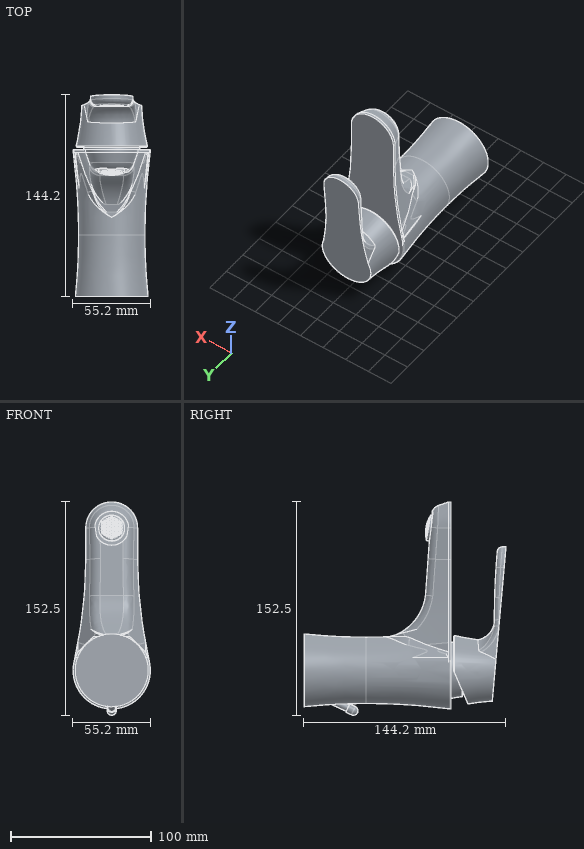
import cadquery as cq
import math


body_length = 104.9
waist_y = 44.0
base_radius = 26.0
waist_radius = 23.8
body_back_radius = 27.7
body_back_round = 0.6

nose_radius = 18.6
nose_z = 101.7
spout_flare_top_z = 79.3
spout_root_half_width = 26.8
spout_root_z = 6.9
spout_band = 2.0
spout_depth = 48.8
spout_taper = 19
spout_edge_round = 8.0

flare_z = 9.1
flare_height = 15.0
flare_taper = 32
flare_tip_y = 46.3
flare_back_half_width = 26.4

outlet_y = 90.5
outlet_z = 101.4
outlet_tilt = 7
insert_tilt = 9.5
spotface_radius = 12.2
insert_radius = 9.3
insert_rise = 1.8
dome_rise = 2.0
screen_pitch = 2.0
screen_hole_width = 1.4
screen_depth = 1.5
screen_radius = 8.1

neck_front_radius = 20.5
neck_back_radius = 18.9
neck_back_y = 112.8
neck_overlap = 1.5

handle_back_y = 136.3
handle_tilt = 5.1
behind_handle_y = 149.4
hub_axis_z = -0.6
hub_front_y = 106.5
hub_front_radius = 25.8
hub_middle_y = 121.0
hub_middle_radius = 22.9
hub_back_radius = 21.5
hub_rim_chamfer = 0.9
hub_relief_y = 116.8
hub_relief_z = -24.0
hub_cove_radius = 14.2
hub_cove_top_z = 35.8
cove_sink = 0.2
lever_end_radius = 15.2
lever_end_z = 73.5
lever_flare_top_z = 51.8
lever_root_half_width = 20.5
lever_root_z = 4.5
lever_front_y = 135.5
lever_taper = 7
lever_depth = 21.3
lever_edge_round = 3.8
blade_bottom_z = 29
dimple_z = 64
dimple_y = 136.5
dimple_radius = 8.2
dimple_depth = 3.4

peg_tip_y = 35
peg_tip_z = -28.8
peg_tilt = 25
peg_head_radius = 3.4
peg_head_length = 4.4
peg_rod_radius = 2.67
peg_length = 21.3

overcut = 91.5


def tilted_plane(y, z, tilt):
    """Plane facing -Y, leaning back by tilt degrees so that its normal also points up."""
    angle = math.radians(tilt)
    normal = (0, -math.cos(angle), math.sin(angle))
    return cq.Plane(origin=(0, y, z), xDir=(1, 0, 0), normal=normal)


def arm_outline(plane, end_radius, end_z, flare_top_z, root_half_width, root_z, bottom_z):
    """Round-ended arm whose sides flare to its root in arcs tangent to the straight part."""
    flare_width = root_half_width - end_radius
    flare_length = flare_top_z - root_z
    flare_radius = (flare_width**2 + flare_length**2) / (2 * flare_width)
    half_angle = math.asin(flare_length / flare_radius) / 2
    middle_x = end_radius + flare_radius * (1 - math.cos(half_angle))
    middle_z = flare_top_z - flare_radius * math.sin(half_angle)
    return (
        cq.Workplane(plane)
        .moveTo(end_radius, flare_top_z)
        .lineTo(end_radius, end_z)
        .threePointArc((0, end_z + end_radius), (-end_radius, end_z))
        .lineTo(-end_radius, flare_top_z)
        .threePointArc((-middle_x, middle_z), (-root_half_width, root_z))
        .lineTo(-root_half_width, bottom_z)
        .lineTo(root_half_width, bottom_z)
        .lineTo(root_half_width, root_z)
        .threePointArc((middle_x, middle_z), (end_radius, flare_top_z))
        .close()
    )


def make_body():
    front_middle_y = waist_y / 2
    back_middle_y = (waist_y + body_length) / 2
    front_middle_radius = waist_radius + (base_radius - waist_radius) / 4
    back_middle_radius = waist_radius + (body_back_radius - waist_radius) / 4
    profile = (
        cq.Workplane("XY")
        .lineTo(base_radius, 0)
        .threePointArc((front_middle_radius, front_middle_y), (waist_radius, waist_y))
        .threePointArc((back_middle_radius, back_middle_y), (body_back_radius, body_length))
        .lineTo(0, body_length)
        .close()
    )
    body = profile.revolve(360, (0, 0, 0), (0, 1, 0))
    return body.faces(">Y").edges().fillet(body_back_round)


def make_spout():
    def outline(y):
        plane = tilted_plane(y, 0, 0)
        return arm_outline(
            plane, nose_radius, nose_z, spout_flare_top_z, spout_root_half_width, spout_root_z, 0
        )

    band = outline(body_length).extrude(spout_band)
    tapered = outline(body_length - spout_band).extrude(spout_depth - spout_band, taper=spout_taper)
    side = (
        cq.Workplane("YZ")
        .moveTo(body_length, 0)
        .lineTo(body_length, 122)
        .lineTo(91.3, 122)
        .lineTo(86.5, 53.4)
        .threePointArc((79.9, 36.9), (65.5, 25.5))
        .lineTo(56.7, 23.2)
        .lineTo(56.7, 0)
        .close()
        .extrude(overcut, both=True)
    )
    spout = tapered.intersect(side)
    front_edges = spout.faces(cq.selectors.BoxSelector((-13.7, 86.9, 61), (13.7, 93, 137.2))).edges()
    spout = front_edges.fillet(spout_edge_round)
    prow = (
        cq.Workplane("XY")
        .moveTo(0, 56.1)
        .lineTo(8.4, 65.5)
        .lineTo(15.2, 76.2)
        .lineTo(30.5, 122)
        .lineTo(-30.5, 122)
        .lineTo(-15.2, 76.2)
        .lineTo(-8.4, 65.5)
        .close()
        .extrude(2 * overcut)
    )
    return band.union(spout.intersect(prow))


def make_root_flare():
    """Drafted wedge, pointed towards the base, that eases the spout into the body."""
    back_y = body_length - spout_band
    return (
        cq.Workplane("XY", origin=(0, 0, flare_z))
        .moveTo(flare_back_half_width, back_y)
        .threePointArc((24.8, 88.4), (22.5, 73.6))
        .threePointArc((17.4, 60.4), (0, flare_tip_y))
        .threePointArc((-17.4, 60.4), (-22.5, 73.6))
        .threePointArc((-24.8, 88.4), (-flare_back_half_width, back_y))
        .close()
        .extrude(flare_height, taper=flare_taper)
    )


def screen_points():
    """Centres of a staggered hole pattern that fits inside the screen circle."""
    column_pitch = screen_pitch * math.sqrt(3) / 2
    reach = math.ceil(screen_radius / column_pitch)
    points = []
    for column in range(-reach, reach + 1):
        stagger = screen_pitch / 2 * (column % 2)
        for row in range(-reach, reach + 1):
            x = column * column_pitch
            z = row * screen_pitch + stagger
            if math.hypot(x, z) <= screen_radius:
                points.append((x, z))
    return points


def fit_outlet(tap):
    """Spot-face the nose and add the domed outlet insert with its screen of hexagonal holes."""
    plane = tilted_plane(outlet_y, outlet_z, outlet_tilt)
    spotface = cq.Workplane(plane).circle(spotface_radius).extrude(spotface_radius)
    dome_top = insert_rise + dome_rise
    profile = (
        cq.Workplane("XY")
        .moveTo(0, -insert_rise)
        .lineTo(insert_radius, -insert_rise)
        .lineTo(insert_radius, insert_rise)
        .threePointArc((insert_radius / 2, insert_rise + dome_rise * 3 / 4), (0, dome_top))
        .close()
    )
    insert = (
        profile.revolve(360, (0, 0, 0), (0, 1, 0))
        .rotate((0, 0, 0), (1, 0, 0), 180 - insert_tilt)
        .translate((0, outlet_y, outlet_z))
    )
    holes = (
        cq.Workplane(tilted_plane(outlet_y, outlet_z, insert_tilt))
        .workplane(offset=dome_top - screen_depth)
        .pushPoints(screen_points())
        .polygon(6, screen_hole_width)
        .extrude(screen_depth)
    )
    return tap.cut(spotface).union(insert).cut(holes)


handle_back_plane = tilted_plane(handle_back_y, 0, handle_tilt)


def make_hub():
    hub_profile = (
        cq.Workplane("XY")
        .moveTo(0, hub_front_y)
        .lineTo(hub_front_radius, hub_front_y)
        .threePointArc((hub_middle_radius, hub_middle_y), (hub_back_radius, behind_handle_y))
        .lineTo(0, behind_handle_y)
        .close()
    )
    hub = hub_profile.revolve(360, (0, 0, 0), (0, 1, 0)).translate((0, 0, hub_axis_z))
    relief = (
        cq.Workplane("YZ")
        .moveTo(hub_front_y, 0)
        .lineTo(hub_relief_y, hub_relief_z)
        .lineTo(hub_relief_y, -overcut)
        .lineTo(0, -overcut)
        .lineTo(0, 0)
        .close()
        .extrude(overcut, both=True)
    )
    hub = hub.cut(relief)
    hub = hub.faces("<Y").edges("%CIRCLE").chamfer(hub_rim_chamfer)
    behind = cq.Workplane(handle_back_plane).rect(2 * overcut, 2 * overcut).extrude(-overcut)
    return hub.cut(behind)


def make_lever_blade(blank):
    """Upper part of the lever, with its slightly hollow front face and rounded front edges."""
    side = (
        cq.Workplane("YZ")
        .moveTo(behind_handle_y, blade_bottom_z)
        .lineTo(behind_handle_y, 94.5)
        .lineTo(138.6, 94.5)
        .threePointArc((136.3, 64), (lever_front_y, hub_cove_top_z))
        .lineTo(lever_front_y, blade_bottom_z)
        .close()
        .extrude(overcut, both=True)
    )
    blade = blank.intersect(side)
    front_faces = blade.faces(cq.selectors.BoxSelector((-4.5, 134.2, 0), (4.5, 138.7, 91.5)))
    return front_faces.edges("not <Z").fillet(lever_edge_round)


def make_lever_root(blank):
    """Concave cove, turned about the hub, that leads from the lever's front face onto the hub."""
    inner_radius = hub_cove_top_z - hub_cove_radius
    top_y = lever_front_y + cove_sink
    bottom_y = top_y - hub_cove_radius
    cove_middle = hub_cove_radius * (1 - math.sqrt(0.5))
    cove = (
        cq.Workplane("XY")
        .moveTo(0, bottom_y)
        .lineTo(inner_radius, bottom_y)
        .threePointArc((inner_radius + cove_middle, top_y - cove_middle), (hub_cove_top_z, top_y))
        .lineTo(hub_cove_top_z, behind_handle_y)
        .lineTo(0, behind_handle_y)
        .close()
        .revolve(360, (0, 0, 0), (0, 1, 0))
    )
    root = blank.intersect(cove)
    return root.faces("%TORUS").edges("<X or >X").fillet(lever_edge_round)


def make_handle():
    blank = arm_outline(
        handle_back_plane, lever_end_radius, lever_end_z, lever_flare_top_z,
        lever_root_half_width, lever_root_z, 0,
    ).extrude(lever_depth, taper=lever_taper)
    handle = make_lever_blade(blank).union(make_lever_root(blank)).union(make_hub())

    dimple_sphere_radius = (dimple_radius**2 + dimple_depth**2) / (2 * dimple_depth)
    dimple_centre_y = dimple_y + dimple_depth - dimple_sphere_radius
    dimple = cq.Workplane("XZ", origin=(0, dimple_centre_y, dimple_z)).sphere(dimple_sphere_radius)
    return handle.cut(dimple)


def make_neck():
    neck_front_y = body_length - neck_overlap
    return (
        cq.Workplane("XY")
        .moveTo(0, neck_front_y)
        .lineTo(neck_front_radius, neck_front_y)
        .lineTo(neck_back_radius, neck_back_y)
        .lineTo(0, neck_back_y)
        .close()
        .revolve(360, (0, 0, 0), (0, 1, 0))
    )


def make_peg():
    """Ball-ended peg that leans into the underside of the body."""
    ball_middle = peg_head_radius * math.sqrt(0.5)
    profile = (
        cq.Workplane("XY")
        .moveTo(0, peg_head_radius)
        .threePointArc((ball_middle, ball_middle), (peg_head_radius, 0))
        .lineTo(peg_head_radius, -peg_head_length)
        .lineTo(peg_rod_radius, -peg_head_length)
        .lineTo(peg_rod_radius, -peg_length)
        .lineTo(0, -peg_length)
        .close()
    )
    return (
        profile.revolve(360, (0, 0, 0), (0, 1, 0))
        .rotate((0, 0, 0), (1, 0, 0), -peg_tilt)
        .translate((0, peg_tip_y, peg_tip_z))
    )


body = make_body().union(make_spout()).union(make_root_flare())
result = fit_outlet(body).union(make_neck()).union(make_handle()).union(make_peg())